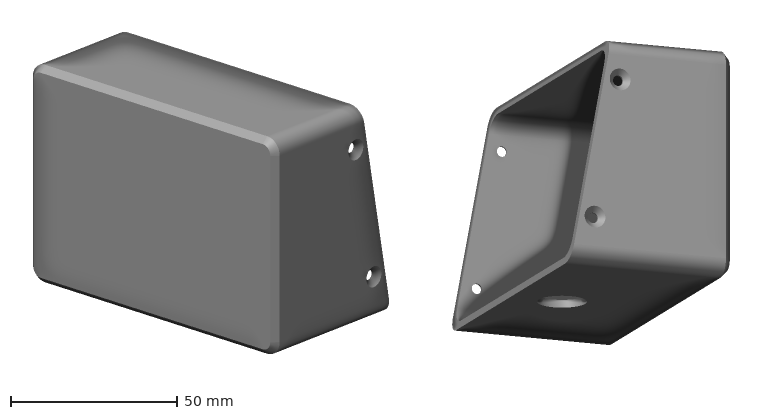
import cadquery as cq

width = 100.0
height = 70.0
depth_bottom = 52.0
depth_top = 39.0
corner_radius = 5.0
front_chamfer = 2.0
wall = 2.4

cable_hole_diameter = 15.0
cable_hole_y = 35.4

screw_centres = [(36.2, 57.3), (44.3, 14.1)]
screw_hole_diameter = 3.2
screw_head_diameter = 6.7
countersink_angle = 90.0


def rounded_block(block_width, block_height, front_y, length):
    """Block centred on X and at mid height, with rounded edges along Y."""
    return (
        cq.Workplane("XZ", origin=(0, front_y, height / 2))
        .rect(block_width, block_height)
        .extrude(-length)
        .edges("|Y")
        .fillet(corner_radius)
    )


def sloped_envelope():
    """Full-width side profile whose back leans forward towards the top."""
    profile = [(0, 0), (depth_bottom, 0), (depth_top, height), (0, height)]
    return cq.Workplane("YZ").polyline(profile).close().extrude(width / 2, both=True)


def shell():
    """Chamfered outer body hollowed out from the sloping back."""
    outer = rounded_block(width, height, 0, depth_bottom).faces("<Y").chamfer(front_chamfer)
    cavity = rounded_block(width - 2 * wall, height - 2 * wall, wall, depth_bottom)
    return outer.intersect(sloped_envelope()).cut(cavity)


def add_cable_hole(body):
    hole = (
        cq.Workplane("XY", origin=(0, cable_hole_y, 0))
        .circle(cable_hole_diameter / 2)
        .extrude(wall)
    )
    return body.cut(hole)


def add_screw_holes(body):
    """Drill each side wall from outside, with the countersinks facing out."""
    for side in (-1, 1):
        side_plane = cq.Plane(origin=(side * width / 2, 0, 0), xDir=(0, side, 0), normal=(side, 0, 0))
        local_centres = [(side * y, z) for y, z in screw_centres]
        body = (
            body.copyWorkplane(cq.Workplane(side_plane))
            .pushPoints(local_centres)
            .cskHole(screw_hole_diameter, screw_head_diameter, countersink_angle, depth=wall)
        )
    return body


result = add_screw_holes(add_cable_hole(shell()))